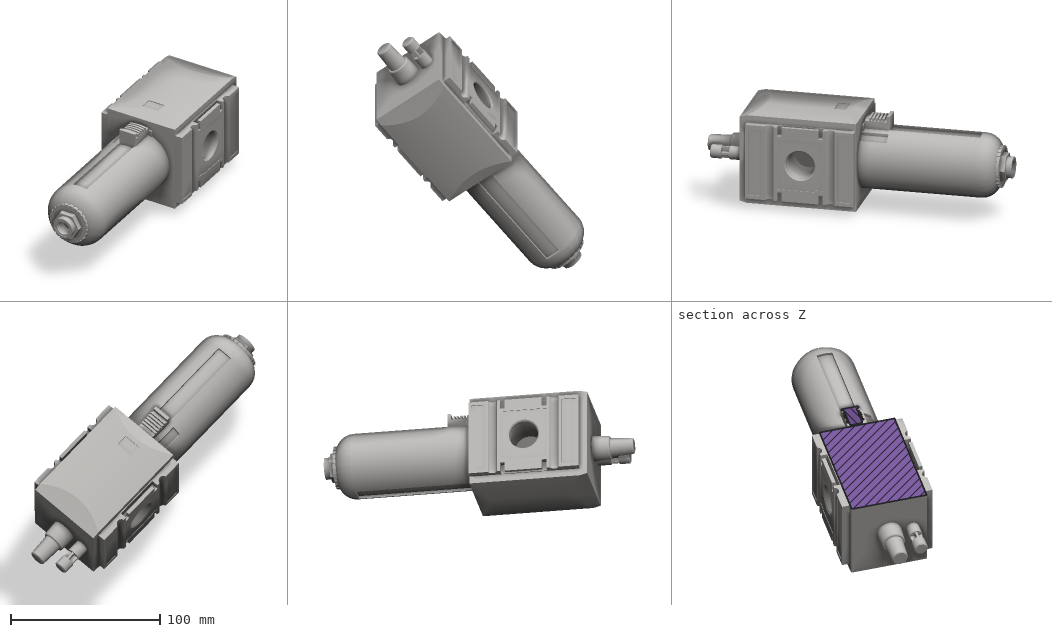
import cadquery as cq
import math


BODY_LENGTH = 75.2
BODY_HALF_WIDTH = 26.2
BODY_EDGE_HEIGHT = 31.3
CROWN_HEIGHT = 33.5
CROWN_SLOPE_LENGTH = 8.5
CAP_THICKNESS = 5.0
CAP_END_HEIGHT = 30.0

FLANGE_HALF_SPAN = 31.5
FLANGE_HALF_HEIGHT = 26.2
FLANGE_SETBACK = 0.5
FLANGE_MIDDLE = BODY_LENGTH / 2

GROOVE_RADIUS = 3.2
GROOVE_DEPTH = 2.5
GROOVE_OFFSET = 21.0
POCKET_OFFSET = 30.7
POCKET_WIDTH = 9.7
POCKET_HALF_HEIGHT = 23.7
POCKET_DEPTH = 0.6
POCKET_CORNER = 0.8

CLIP_HALF_LENGTH = 15.8
CLIP_SLOT_WIDTH = 3.2
CLIP_DEPTH = 6.3
CLIP_LIP = 2.5
CLIP_CHANNEL_WIDTH = 2.0

PANEL_HALF_HEIGHT = 17.8
PANEL_DEPTH = 0.5
PANEL_KEY_LENGTH = 5.7
PANEL_KEY_HEIGHT = 1.3

PORT_RADIUS = 9.9
PORT_MOUTH_RADIUS = 10.7
PORT_DEPTH = 25.2

LABEL_WIDTH = 12.2
LABEL_LENGTH = 8.2
LABEL_START = 11.8
LABEL_DEPTH = 0.6

KNOB_TIP_RADIUS = 5.5
KNOB_GRIP_RADIUS = 6.3
KNOB_COLLAR_RADIUS = 7.8
KNOB_FOOT_RADIUS = 8.6
KNOB_HEIGHT = 27.3
KNOB_COLLAR_HEIGHT = 11.5
KNOB_BEVEL = 0.6

SCREW_X = -16.2
SCREW_RADIUS = 4.6
SCREW_HEIGHT = 22.0
SCREW_BASE_HEIGHT = 8.8
SCREW_NECK_HEIGHT = 5.7
SCREW_NECK_SPAN = 8.0
SCREW_RIB_THICKNESS = 1.5
SCREW_BEVEL = 0.6

BOWL_RADIUS = 22.0
BOWL_STRAIGHT = 82.0
DOME_RADIUS = 12.2
DOME_END_RADIUS = 13.5
RECESS_RADIUS = 20.2

WINDOW_WIDTH = 11.0
WINDOW_START = 3.4
WINDOW_END = 80.6

MARK_INNER_X = -9.7
MARK_LENGTH = 18.5

LATCH_WIDTH = 12.2
LATCH_START = 1.0
LATCH_END = 18.5
LATCH_FLOOR_RADIUS = 27.5
LATCH_TOOTH_RADIUS = 29.6
LATCH_TOP = 30.9
LATCH_BAR_LENGTH = 2.3
TOOTH_COUNT = 5
TOOTH_PITCH = 2.3
TOOTH_LENGTH = 1.3
TOOTH_START = 4.0

TAB_WIDTH = 17.2
TAB_TOP = 25.0
TAB_CORNER = 1.0

RING_RADIUS = 14.5
RING_START = 93.0
RING_END = 95.3
RING_DISH_RADIUS = 11.5
RING_DISH_DEPTH = 0.6
KNURL_COUNT = 24
KNURL_WIDTH = 1.0
KNURL_DEPTH = 0.6

HEX_ACROSS_FLATS = 17.2
HEX_END = 98.5
SPOUT_RADIUS = 7.4
SPOUT_END = 102.5
DRAIN_RADIUS = 4.8
DRAIN_DEPTH = 8.5
DRAIN_MOUTH_RADIUS = 5.9
DRAIN_MOUTH_DEPTH = 0.5


def block(x0, x1, y0, y1, z0, z1):
    """Box between the given limits."""
    return cq.Workplane("XY").box(x1 - x0, y1 - y0, z1 - z0, centered=False).translate((x0, y0, z0))


def rod(radius, y0, y1, x=0):
    """Cylinder along Y from y0 to y1."""
    return cq.Workplane("XZ", origin=(x, y0, 0)).circle(radius).extrude(y0 - y1)


def turned(points):
    """Solid of revolution about Y from (radius, y) points."""
    return cq.Workplane("XY").polyline(points).close().revolve(360, (0, 0, 0), (0, 1, 0))


def on_both_sides(feature):
    """The feature together with its mirror image in the YZ plane."""
    return feature.union(feature.mirror("YZ"))


def housing_core():
    """Body and cap, domed above and below, with bevelled ends."""
    cross_section = (
        cq.Workplane("XZ")
        .moveTo(-BODY_HALF_WIDTH, -BODY_EDGE_HEIGHT)
        .threePointArc((0, -CROWN_HEIGHT), (BODY_HALF_WIDTH, -BODY_EDGE_HEIGHT))
        .lineTo(BODY_HALF_WIDTH, BODY_EDGE_HEIGHT)
        .threePointArc((0, CROWN_HEIGHT), (-BODY_HALF_WIDTH, BODY_EDGE_HEIGHT))
        .close()
        .extrude(-(BODY_LENGTH + CAP_THICKNESS))
    )
    upper_edge = [
        (0, BODY_EDGE_HEIGHT),
        (CROWN_SLOPE_LENGTH, CROWN_HEIGHT),
        (BODY_LENGTH - CROWN_SLOPE_LENGTH, CROWN_HEIGHT),
        (BODY_LENGTH, BODY_EDGE_HEIGHT),
        (BODY_LENGTH + CAP_THICKNESS, CAP_END_HEIGHT),
    ]
    lower_edge = [(y, -z) for y, z in reversed(upper_edge)]
    side_outline = (
        cq.Workplane("YZ")
        .polyline(upper_edge + lower_edge)
        .close()
        .extrude(BODY_HALF_WIDTH, both=True)
    )
    return cross_section.intersect(side_outline)


def flange_grooves():
    """Round grooves running the full height of the left flange."""
    middle_x = -FLANGE_HALF_SPAN + GROOVE_DEPTH - GROOVE_RADIUS
    middles = [(middle_x, FLANGE_MIDDLE + side * GROOVE_OFFSET) for side in (-1, 1)]
    return (
        cq.Workplane("XY")
        .pushPoints(middles)
        .circle(GROOVE_RADIUS)
        .extrude(FLANGE_HALF_HEIGHT, both=True)
    )


def flange_pockets():
    """Shallow rectangular pockets near both ends of the left flange."""
    middles = [(FLANGE_MIDDLE + side * POCKET_OFFSET, 0) for side in (-1, 1)]
    return (
        cq.Workplane("YZ", origin=(-FLANGE_HALF_SPAN, 0, 0))
        .pushPoints(middles)
        .rect(POCKET_WIDTH, 2 * POCKET_HALF_HEIGHT)
        .extrude(POCKET_DEPTH)
        .edges("|X")
        .fillet(POCKET_CORNER)
    )


def clip_recess():
    """Upper clip recess of the left flange: two slots joined by a channel behind a lip."""
    start = FLANGE_MIDDLE - CLIP_HALF_LENGTH
    end = FLANGE_MIDDLE + CLIP_HALF_LENGTH
    bottom = FLANGE_HALF_HEIGHT - CLIP_DEPTH
    lip_back = -FLANGE_HALF_SPAN + CLIP_LIP
    channel_back = lip_back + CLIP_CHANNEL_WIDTH
    recess = block(lip_back, channel_back, start, end, bottom, FLANGE_HALF_HEIGHT)
    for slot_start in (start, end - CLIP_SLOT_WIDTH):
        slot_end = slot_start + CLIP_SLOT_WIDTH
        slot = block(-FLANGE_HALF_SPAN, channel_back, slot_start, slot_end, bottom, FLANGE_HALF_HEIGHT)
        recess = recess.union(slot)
    return recess


def port_panel():
    """Sunk panel around the left port, with one corner left standing as a key."""
    start = FLANGE_MIDDLE - CLIP_HALF_LENGTH
    end = FLANGE_MIDDLE + CLIP_HALF_LENGTH
    back = -FLANGE_HALF_SPAN + PANEL_DEPTH
    panel = block(-FLANGE_HALF_SPAN, back, start, end, -PANEL_HALF_HEIGHT, PANEL_HALF_HEIGHT)
    key_top = -PANEL_HALF_HEIGHT + PANEL_KEY_HEIGHT
    key = block(-FLANGE_HALF_SPAN, back, start, start + PANEL_KEY_LENGTH, -PANEL_HALF_HEIGHT, key_top)
    return panel.cut(key)


def port():
    """Blind left port with a bevelled mouth."""
    mouth_x = -FLANGE_HALF_SPAN + PANEL_DEPTH
    mouth_bevel = PORT_MOUTH_RADIUS - PORT_RADIUS
    profile = [
        (mouth_x, 0),
        (mouth_x, PORT_MOUTH_RADIUS),
        (mouth_x + mouth_bevel, PORT_RADIUS),
        (mouth_x + PORT_DEPTH, PORT_RADIUS),
        (mouth_x + PORT_DEPTH, 0),
    ]
    bore = cq.Workplane("XY").polyline(profile).close().revolve(360, (0, 0, 0), (1, 0, 0))
    return bore.translate((0, FLANGE_MIDDLE, 0))


def label_recess():
    """Shallow rectangular field in the upper dome."""
    half_width = LABEL_WIDTH / 2
    label_end = LABEL_START + LABEL_LENGTH
    return block(-half_width, half_width, LABEL_START, label_end, CROWN_HEIGHT - LABEL_DEPTH, CROWN_HEIGHT)


def adjusting_knob():
    """Tapered knob on the housing axis, with a thicker collar at its foot."""
    collar_top = KNOB_COLLAR_HEIGHT
    knob = turned([
        (0, 0),
        (KNOB_FOOT_RADIUS, 0),
        (KNOB_COLLAR_RADIUS, collar_top - KNOB_BEVEL),
        (KNOB_COLLAR_RADIUS - KNOB_BEVEL, collar_top),
        (KNOB_GRIP_RADIUS, collar_top),
        (KNOB_TIP_RADIUS, KNOB_HEIGHT - KNOB_BEVEL),
        (KNOB_TIP_RADIUS - KNOB_BEVEL, KNOB_HEIGHT),
        (0, KNOB_HEIGHT),
    ])
    return knob.translate((0, BODY_LENGTH + CAP_THICKNESS, 0))


def filler_screw():
    """Round screw with a cross-ribbed neck, beside the knob."""
    base = BODY_LENGTH + CAP_THICKNESS
    neck_start = base + SCREW_BASE_HEIGHT
    neck_end = neck_start + SCREW_NECK_HEIGHT
    half_span = SCREW_NECK_SPAN / 2
    half_rib = SCREW_RIB_THICKNESS / 2
    foot = rod(SCREW_RADIUS, base, neck_start, SCREW_X)
    head = rod(SCREW_RADIUS, neck_end, base + SCREW_HEIGHT, SCREW_X).faces(">Y").chamfer(SCREW_BEVEL)
    flat_rib = block(SCREW_X - half_span, SCREW_X + half_span, neck_start, neck_end, -half_rib, half_rib)
    upright_rib = block(SCREW_X - half_rib, SCREW_X + half_rib, neck_start, neck_end, -half_span, half_span)
    return foot.union(flat_rib).union(upright_rib).union(head)


def make_housing():
    flanges = block(
        -FLANGE_HALF_SPAN, FLANGE_HALF_SPAN,
        FLANGE_SETBACK, BODY_LENGTH,
        -FLANGE_HALF_HEIGHT, FLANGE_HALF_HEIGHT,
    )
    housing = housing_core().union(flanges)
    upper_clip = clip_recess()
    side_features = [
        flange_grooves(),
        flange_pockets(),
        upper_clip,
        upper_clip.mirror("XY"),
        port_panel(),
        port(),
    ]
    for feature in side_features:
        housing = housing.cut(on_both_sides(feature))
    housing = housing.cut(label_recess())
    return housing.union(adjusting_knob()).union(filler_screw())


def bowl_shell():
    """Cylinder with a rounded end."""
    arc_middle_radius = BOWL_RADIUS - DOME_RADIUS
    end_angle = math.acos((DOME_END_RADIUS - arc_middle_radius) / DOME_RADIUS)

    def dome_point(angle):
        return (
            arc_middle_radius + DOME_RADIUS * math.cos(angle),
            -BOWL_STRAIGHT - DOME_RADIUS * math.sin(angle),
        )

    dome_end = dome_point(end_angle)
    return (
        cq.Workplane("XY")
        .lineTo(BOWL_RADIUS, 0)
        .lineTo(BOWL_RADIUS, -BOWL_STRAIGHT)
        .threePointArc(dome_point(end_angle / 2), dome_end)
        .lineTo(0, dome_end[1])
        .close()
        .revolve(360, (0, 0, 0), (0, 1, 0))
    )


def bowl_wall(y0, y1):
    """Outer layer of the bowl wall, down to the floor of the recesses."""
    return rod(BOWL_RADIUS, y0, y1).cut(rod(RECESS_RADIUS, y0, y1))


def window():
    """Upper lengthwise recess with upright sides."""
    half_width = WINDOW_WIDTH / 2
    opening = block(-half_width, half_width, -WINDOW_END, -WINDOW_START, 0, BOWL_RADIUS)
    return opening.intersect(bowl_wall(-WINDOW_END, -WINDOW_START))


def alignment_mark():
    """Recess at the joint face, from an upright wall to a radial wall at 45 degrees."""
    opening = (
        cq.Workplane("XZ")
        .polyline([
            (MARK_INNER_X, -MARK_INNER_X),
            (MARK_INNER_X, BOWL_RADIUS),
            (-BOWL_RADIUS, BOWL_RADIUS),
        ])
        .close()
        .extrude(MARK_LENGTH)
    )
    return opening.intersect(bowl_wall(-MARK_LENGTH, 0))


def latch():
    """Latch block with a curved, ribbed top and a raised bar at its free end."""
    half_width = LATCH_WIDTH / 2

    def curved_block(radius, y0, y1):
        blank = block(-half_width, half_width, y0, y1, 0, radius)
        return blank.intersect(rod(radius, y0, y1)).cut(rod(RECESS_RADIUS, y0, y1))

    body = curved_block(LATCH_FLOOR_RADIUS, -LATCH_END, -LATCH_START)
    for index in range(TOOTH_COUNT):
        tooth_start = -TOOTH_START - index * TOOTH_PITCH
        body = body.union(curved_block(LATCH_TOOTH_RADIUS, tooth_start - TOOTH_LENGTH, tooth_start))
    bar_start = -LATCH_END + LATCH_BAR_LENGTH
    bar = block(-half_width, half_width, -LATCH_END, bar_start, BOWL_RADIUS, LATCH_TOP)
    return body.union(bar)


def latch_tab():
    """Thin guide plate behind the latch, lying against the joint face."""
    half_width = TAB_WIDTH / 2
    plate = block(-half_width, half_width, -LATCH_START, 0, 0, TAB_TOP)
    return plate.edges("|Y and >Z").fillet(TAB_CORNER)


def knurled_ring():
    """Ring with axial grooves around its rim and a dished end."""
    ring = rod(RING_RADIUS, -RING_END, -RING_START)
    groove = block(
        RING_RADIUS - KNURL_DEPTH, RING_RADIUS, -RING_END, -RING_START, -KNURL_WIDTH / 2, KNURL_WIDTH / 2
    )
    for index in range(KNURL_COUNT):
        ring = ring.cut(groove.rotate((0, 0, 0), (0, 1, 0), index * 360 / KNURL_COUNT))
    return ring.cut(rod(RING_DISH_RADIUS, -RING_END, -RING_END + RING_DISH_DEPTH))


def drain():
    """Hexagon and round spout at the end of the bowl."""
    across_corners = HEX_ACROSS_FLATS / math.cos(math.pi / 6)
    hexagon = (
        cq.Workplane("XZ", origin=(0, -RING_START, 0))
        .polygon(6, across_corners)
        .extrude(HEX_END - RING_START)
    )
    return hexagon.union(rod(SPOUT_RADIUS, -SPOUT_END, -HEX_END))


def drain_hole():
    """Blind hole in the spout with a shallow counterbore."""
    hole = rod(DRAIN_RADIUS, -SPOUT_END, -SPOUT_END + DRAIN_DEPTH)
    return hole.union(rod(DRAIN_MOUTH_RADIUS, -SPOUT_END, -SPOUT_END + DRAIN_MOUTH_DEPTH))


def make_bowl():
    upper_window = window()
    bowl = bowl_shell().cut(upper_window).cut(upper_window.mirror("XY")).cut(alignment_mark())
    for feature in (latch(), latch_tab(), knurled_ring(), drain()):
        bowl = bowl.union(feature)
    return bowl.cut(drain_hole())


housing = make_housing()
bowl = make_bowl()

result = cq.Compound.makeCompound([housing.val(), bowl.val()])